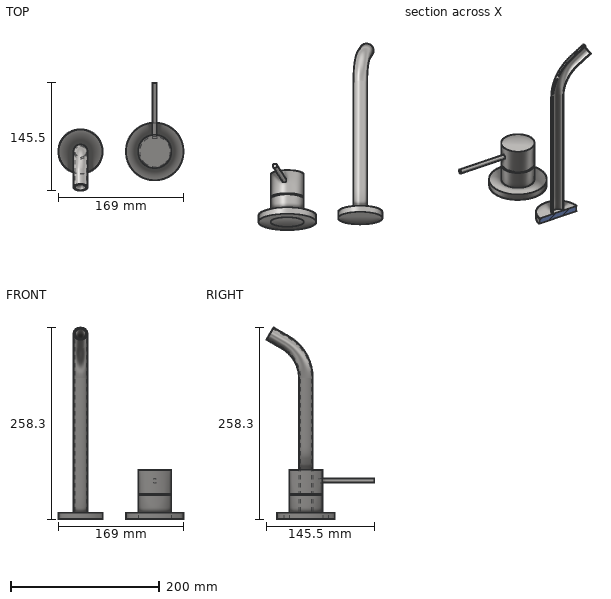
import cadquery as cq
import math

mixer_spacing = 100.0
flange_height = 9.0

spout_flange_diameter = 60.0
spout_flange_chamfer = 0.5

spout_diameter = 19.0
spout_wall = 2.0
overall_height = 258.3
bend_radius = 55.0
bend_angle = 60.0
tip_length = 24.0

mixer_flange_diameter = 78.0
mixer_diameter = 45.0
neck_diameter = 41.0
neck_height = 1.5
lower_body_top = 32.5
mixer_height = 66.5

lever_diameter = 6.0
lever_reach = 92.5
lever_height = 52.0
lever_socket_depth = 5.0


def disc(diameter, bottom, top, x=0.0):
    """Upright cylinder between two heights, centred at the given X."""
    base = cq.Workplane("XY", origin=(x, 0, bottom))
    return base.circle(diameter / 2).extrude(top - bottom)


def make_spout_flange():
    flange = disc(spout_flange_diameter, 0, flange_height)
    return flange.faces(">Z").edges().chamfer(spout_flange_chamfer)


def make_spout():
    """Hollow pipe swept along a line, an arc and a tangent line."""
    angle = math.radians(bend_angle)
    half_angle = angle / 2
    spout_radius = spout_diameter / 2

    rise_above_bend_start = (
        bend_radius * math.sin(angle)
        + tip_length * math.cos(angle)
        + spout_radius * math.sin(angle)
    )
    bend_start = overall_height - rise_above_bend_start

    def bend_point(turn):
        forward = bend_radius * (1 - math.cos(turn))
        return (-forward, bend_start + bend_radius * math.sin(turn))

    bend_end = bend_point(angle)
    tip_end = (
        bend_end[0] - tip_length * math.sin(angle),
        bend_end[1] + tip_length * math.cos(angle),
    )
    path = (
        cq.Workplane("YZ")
        .moveTo(0, flange_height)
        .lineTo(0, bend_start)
        .threePointArc(bend_point(half_angle), bend_end)
        .lineTo(*tip_end)
    )
    ring = (
        cq.Workplane("XY", origin=(0, 0, flange_height))
        .circle(spout_radius)
        .circle(spout_radius - spout_wall)
    )
    return ring.sweep(path)


def make_lower_body():
    """Fixed body that passes through the mixer flange."""
    return disc(mixer_diameter, 0, lower_body_top, mixer_spacing)


def make_mixer_flange(lower_body):
    """Flange with a through hole that fits the lower body."""
    flange = disc(mixer_flange_diameter, 0, flange_height, mixer_spacing)
    return flange.cut(lower_body)


def make_neck():
    """Recessed disc between the lower body and the cap."""
    return disc(neck_diameter, lower_body_top, lower_body_top + neck_height, mixer_spacing)


def make_lever():
    """Rod whose inner end is seated in the cap's socket."""
    inner_end = mixer_diameter / 2 - lever_socket_depth
    base = cq.Workplane("XZ", origin=(mixer_spacing, inner_end, lever_height))
    return base.circle(lever_diameter / 2).extrude(inner_end - lever_reach)


def make_cap(lever):
    """Turning cap with a blind side socket that fits the lever."""
    cap = disc(mixer_diameter, lower_body_top + neck_height, mixer_height, mixer_spacing)
    return cap.cut(lever)


spout_flange = make_spout_flange()
spout = make_spout()
lower_body = make_lower_body()
mixer_flange = make_mixer_flange(lower_body)
neck = make_neck()
lever = make_lever()
cap = make_cap(lever)

result = cq.Compound.makeCompound([
    spout_flange.val(),
    spout.val(),
    mixer_flange.val(),
    lower_body.val(),
    neck.val(),
    cap.val(),
    lever.val(),
])